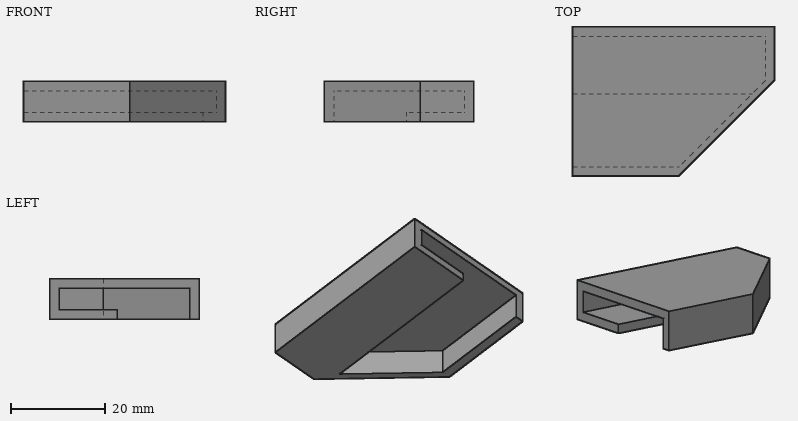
import cadquery as cq

length = 43.0
width = 31.8
height = 8.7
corner_cut = 20.4

wall = 2.0
floor_width = 14.3


def cut_corner_outline(right, front, back, cut):
    """Rectangle starting at the open left end, with its front right corner cut at 45 degrees."""
    return [
        (0, front),
        (right - cut, front),
        (right, front + cut),
        (right, back),
        (0, back),
    ]


def prism(outline, bottom, top):
    return cq.Workplane("XY").workplane(offset=bottom).polyline(outline).close().extrude(top - bottom)


body = prism(cut_corner_outline(length, 0, width, corner_cut), 0, height)

inner_cut = corner_cut - wall
inner_right = length - wall
roof_underside = height - wall

pocket = prism(
    cut_corner_outline(inner_right, wall, width - wall, inner_cut),
    wall,
    roof_underside,
)

floor_edge = width - floor_width
opening_outline = [
    (0, wall),
    (inner_right - inner_cut, wall),
    (inner_right - inner_cut + floor_edge - wall, floor_edge),
    (0, floor_edge),
]
opening = prism(opening_outline, 0, roof_underside)

result = body.cut(pocket).cut(opening)